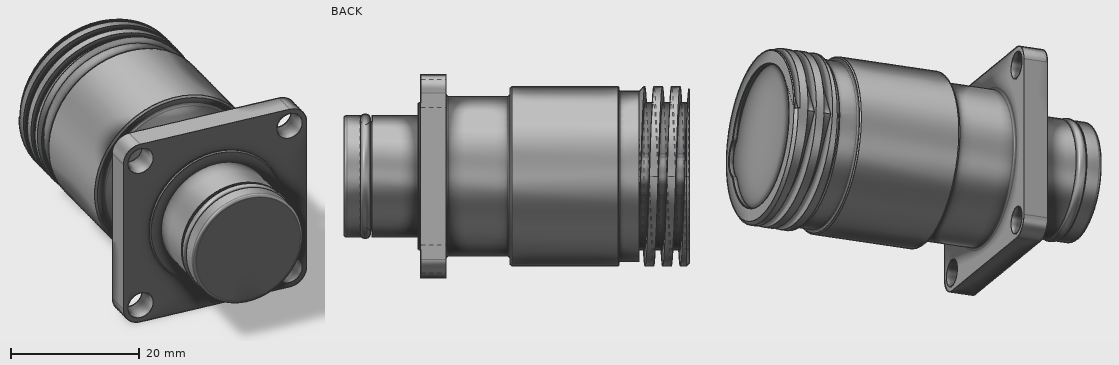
import cadquery as cq
import math

total_length = 54.0
flange_side = 31.75

barrel_radius = 28.0 / 2
barrel_start = 11.0
barrel_end = 28.1
barrel_front_chamfer = 0.2
barrel_rear_chamfer = 0.3
front_face_radius = 27.0 / 2
collar_radius = 13.3
collar_start = 7.9
collar_fillet = 0.2

neck_radius = 12.5
neck_fillet = 0.4

flange_start = 38.0
flange_end = 42.0
flange_corner_radius = 2.9
mount_hole_diameter = 4.4
mount_hole_offset = 12.9

boss_radius = 11.5
boss_end = 42.45
boss_chamfer = 0.2
spigot_radius = 19.0 / 2
spigot_end_fillet = 0.5
gland_start = 49.55
gland_end = 51.4
gland_radius = 8.55

ring_section_radius = 1.6 / 2
ring_outer_radius = 9.7
ring_center_x = 50.65

core_radius = 11.5
key_tip_radius = 25.2 / 2
key_nose_radius = 4.05
key_blend_radius = 1.1
recess_depth = 0.75
recess_inset = 0.1
recess_chamfer = 0.1

thread_pitch = 2.75
thread_turns = 3.25
thread_start = 0.1
front_rim_thickness = 0.15
groove_overcut = 0.55
groove_half_width_root = 0.62
groove_half_width_crest = 0.73
groove_floor_radius = core_radius - groove_overcut
groove_outer_radius = barrel_radius + groove_overcut

runout_tip_radius = 13.4

arc_inset = 1 - math.sqrt(0.5)


def revolve_about_x(profile):
    return profile.close().revolve(360, (0, 0, 0), (1, 0, 0))


def front_barrel():
    """Thread blank, collar, barrel and neck turned as one profile."""
    thread_front_chamfer = barrel_radius - front_face_radius
    thread_rear_chamfer = barrel_radius - collar_radius
    profile = (
        cq.Workplane("XY")
        .lineTo(0, front_face_radius)
        .lineTo(thread_front_chamfer, barrel_radius)
        .lineTo(collar_start - thread_rear_chamfer, barrel_radius)
        .lineTo(collar_start, collar_radius)
        .lineTo(barrel_start - collar_fillet, collar_radius)
        .threePointArc(
            (barrel_start - arc_inset * collar_fillet, collar_radius + arc_inset * collar_fillet),
            (barrel_start, collar_radius + collar_fillet),
        )
        .lineTo(barrel_start, barrel_radius - barrel_front_chamfer)
        .lineTo(barrel_start + barrel_front_chamfer, barrel_radius)
        .lineTo(barrel_end - barrel_rear_chamfer, barrel_radius)
        .lineTo(barrel_end, barrel_radius - barrel_rear_chamfer)
        .lineTo(barrel_end, neck_radius + neck_fillet)
        .threePointArc(
            (barrel_end + arc_inset * neck_fillet, neck_radius + arc_inset * neck_fillet),
            (barrel_end + neck_fillet, neck_radius),
        )
        .lineTo(flange_start - neck_fillet, neck_radius)
        .threePointArc(
            (flange_start - arc_inset * neck_fillet, neck_radius + arc_inset * neck_fillet),
            (flange_start, neck_radius + neck_fillet),
        )
        .lineTo(flange_start, 0)
    )
    return revolve_about_x(profile)


def square_flange():
    return (
        cq.Workplane("YZ", origin=(flange_start, 0, 0))
        .rect(flange_side, flange_side)
        .extrude(flange_end - flange_start)
        .edges("|X")
        .fillet(flange_corner_radius)
        .faces("<X")
        .workplane()
        .rect(2 * mount_hole_offset, 2 * mount_hole_offset, forConstruction=True)
        .vertices()
        .hole(mount_hole_diameter)
    )


def rear_spigot():
    """Boss behind the flange and the spigot with its seal gland."""
    profile = (
        cq.Workplane("XY")
        .moveTo(flange_end, 0)
        .lineTo(flange_end, boss_radius)
        .lineTo(boss_end - boss_chamfer, boss_radius)
        .lineTo(boss_end, boss_radius - boss_chamfer)
        .lineTo(boss_end, spigot_radius)
        .lineTo(gland_start, spigot_radius)
        .lineTo(gland_start, gland_radius)
        .lineTo(gland_end, gland_radius)
        .lineTo(gland_end, spigot_radius)
        .lineTo(total_length - spigot_end_fillet, spigot_radius)
        .threePointArc(
            (total_length - arc_inset * spigot_end_fillet, spigot_radius - arc_inset * spigot_end_fillet),
            (total_length, spigot_radius - spigot_end_fillet),
        )
        .lineTo(total_length, 0)
    )
    return revolve_about_x(profile)


def keyed_core(length, inset=0.0):
    """Cylinder along X with a rounded key, blended into it, on the +Y side.

    The inset moves the whole outline inward, or outward if it is negative.
    """
    round_radius = core_radius - inset
    nose_radius = key_nose_radius - inset
    key_center = key_tip_radius - key_nose_radius
    meeting_y = (key_center**2 + round_radius**2 - nose_radius**2) / (2 * key_center)
    meeting_z = math.sqrt(round_radius**2 - meeting_y**2)
    core = cq.Workplane("YZ").circle(round_radius).extrude(length)
    core = core.union(cq.Workplane("YZ").center(key_center, 0).circle(nose_radius).extrude(length))
    for side in (-1, 1):
        inner_corner = cq.selectors.NearestToPointSelector((length / 2, meeting_y, side * meeting_z))
        core = core.edges(inner_corner).fillet(key_blend_radius + inset)
    return core


def runout_rib():
    """Wedge whose two flats leave the core tangentially and meet in a point on the -Y side."""
    tangent_y = -core_radius**2 / runout_tip_radius
    tangent_z = math.sqrt(core_radius**2 - tangent_y**2)
    return (
        cq.Workplane("YZ")
        .moveTo(-runout_tip_radius, 0)
        .lineTo(tangent_y, tangent_z)
        .lineTo(0, 0)
        .lineTo(tangent_y, -tangent_z)
        .close()
        .extrude(collar_start)
    )


def thread_groove():
    """Helical groove that starts on the -Y side behind the front rim and ends at the collar."""
    helix = cq.Wire.makeHelix(thread_pitch, thread_pitch * thread_turns, core_radius, lefthand=True)
    sweep = (
        cq.Workplane("XZ")
        .moveTo(groove_floor_radius, -groove_half_width_root)
        .lineTo(groove_floor_radius, groove_half_width_root)
        .lineTo(groove_outer_radius, groove_half_width_crest)
        .lineTo(groove_outer_radius, -groove_half_width_crest)
        .close()
        .sweep(cq.Workplane(helix), isFrenet=True)
        .rotate((0, 0, 0), (0, 1, 0), 90)
        .rotate((0, 0, 0), (1, 0, 0), -90)
        .translate((thread_start, 0, 0))
    )
    thread_zone = (
        cq.Workplane("YZ", origin=(front_rim_thickness, 0, 0))
        .circle(2 * groove_outer_radius)
        .extrude(collar_start - front_rim_thickness)
    )
    return sweep.intersect(thread_zone)


def front_recess():
    """Space of the keyed recess, widened at its mouth by a chamfer."""
    mouth = (
        keyed_core(2 * recess_chamfer, recess_inset - recess_chamfer)
        .faces(">X")
        .chamfer(recess_chamfer)
        .translate((-recess_chamfer, 0, 0))
    )
    return keyed_core(recess_depth, recess_inset).union(mouth)


def make_seal_ring():
    ring_center_radius = ring_outer_radius - ring_section_radius
    return (
        cq.Workplane("XY")
        .center(ring_center_x, ring_center_radius)
        .circle(ring_section_radius)
        .revolve(360, (0, -ring_center_radius, 0), (1, -ring_center_radius, 0))
    )


def make_housing(seal_ring):
    threaded_front = front_barrel().cut(thread_groove()).union(keyed_core(collar_start)).union(runout_rib())
    housing = threaded_front.union(square_flange()).union(rear_spigot())
    housing = housing.cut(front_recess())
    return housing.cut(seal_ring)


seal_ring = make_seal_ring()
housing = make_housing(seal_ring)
result = cq.Compound.makeCompound([housing.solids().val(), seal_ring.solids().val()])